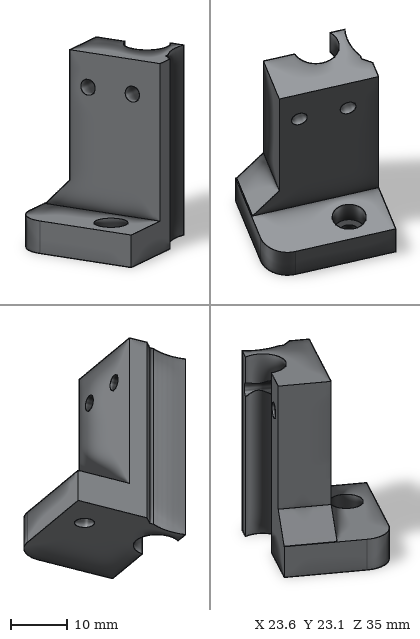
import cadquery as cq
import math

width = 23.56
depth = 23.07
height = 35.0

base_thickness = 6.0
corner_radius = 5.0

block_left = 5.15
block_front = 10.4
back_face = 20.0

rib_left = 0.2
rib_top = 11.0

seat_radius = 4.15
seat_x = 15.05
seat_y = 20.65

clip_tip_left = seat_x + math.sqrt(seat_radius**2 - (depth - seat_y) ** 2)
clip_thickness = 1.7
relief_radius = 10.2
relief_x = seat_x + seat_radius + clip_thickness + relief_radius
relief_y = seat_y
shoulder_x = 21.95
shoulder_y = 15.4
shoulder_end_y = 13.95

cross_hole_diameter = 2.9
cross_hole_z = 28.6
cross_hole_xs = (8.87, 17.9)

mount_x = 16.5
mount_y = 5.2
mount_diameter = 3.5
counterbore_diameter = 6.0
counterbore_depth = 4.0


def box_between(x_range, y_range, z_range):
    """Box from its lower and upper limits along each axis."""
    return cq.Workplane("XY").box(
        x_range[1] - x_range[0],
        y_range[1] - y_range[0],
        z_range[1] - z_range[0],
        centered=False,
    ).translate((x_range[0], y_range[0], z_range[0]))


def make_body():
    """Foot, upright block and the full-height stock for the clip wall."""
    foot = box_between((0, width), (0, back_face), (0, base_thickness))
    foot = foot.edges("|Z and <X and <Y").fillet(corner_radius)
    block = box_between((block_left, width), (block_front, back_face), (0, height))
    clip = box_between((clip_tip_left, width), (block_front, depth), (0, height))
    return foot.union(block).union(clip)


def make_rib():
    """Triangular rib as deep as the block."""
    return (
        cq.Workplane("XZ", origin=(0, block_front, 0))
        .moveTo(rib_left, base_thickness)
        .lineTo(block_left, base_thickness)
        .lineTo(block_left, rib_top)
        .close()
        .extrude(block_front - back_face)
    )


def relief_edge_x(y):
    """X of the curved outer face of the clip wall at a given Y."""
    return relief_x - math.sqrt(relief_radius**2 - (y - relief_y) ** 2)


def make_seat_cut():
    """Round vertical channel for the rod."""
    return cq.Workplane("XY").center(seat_x, seat_y).circle(seat_radius).extrude(height)


def make_relief_cut():
    """Curved relief outside the clip wall, ending in a sloped shoulder."""
    arc_end_y = relief_y - math.sqrt(relief_radius**2 - (relief_x - shoulder_x) ** 2)
    return (
        cq.Workplane("XY")
        .moveTo(relief_edge_x(depth), depth)
        .threePointArc((relief_edge_x(relief_y), relief_y), (shoulder_x, arc_end_y))
        .lineTo(shoulder_x, shoulder_y)
        .lineTo(width, shoulder_end_y)
        .lineTo(width, depth)
        .close()
        .extrude(height)
    )


def make_cross_holes():
    """Pair of holes running front to back through the whole depth."""
    return (
        cq.Workplane("XZ")
        .pushPoints([(x, cross_hole_z) for x in cross_hole_xs])
        .circle(cross_hole_diameter / 2)
        .extrude(-depth)
    )


def make_mount_hole():
    """Through hole with a flat counterbore sunk from the top of the foot."""
    drill = cq.Workplane("XY").center(mount_x, mount_y).circle(mount_diameter / 2).extrude(base_thickness)
    recess = (
        cq.Workplane("XY", origin=(mount_x, mount_y, base_thickness))
        .circle(counterbore_diameter / 2)
        .extrude(-counterbore_depth)
    )
    return drill.union(recess)


result = (
    make_body()
    .union(make_rib())
    .cut(make_seat_cut())
    .cut(make_relief_cut())
    .cut(make_cross_holes())
    .cut(make_mount_hole())
)